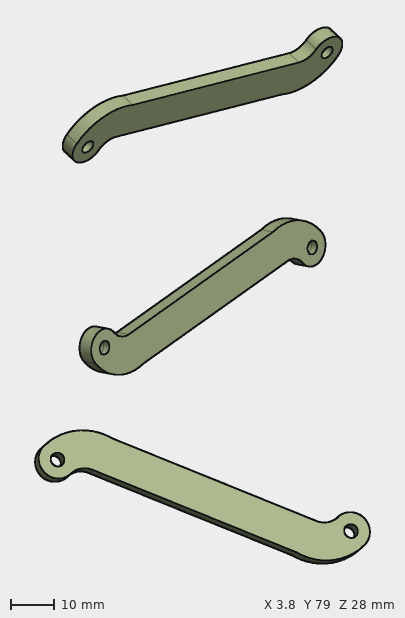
import cadquery as cq
import math

overall_length = 79.0
overall_height = 28.0
thickness = 3.8
end_radius = 4.5
bar_width = 8.85
hole_diameter = 3.2
bend_radius = 9.3
hole_height_difference = 13.35

outer_radius = bend_radius + end_radius
inner_radius = bend_radius - end_radius
pin_height = hole_height_difference / 2
pin_y = -(overall_length / 2 - end_radius)
bend_z = overall_height / 2 - outer_radius
bend_y = pin_y + math.sqrt(bend_radius**2 - (pin_height - bend_z) ** 2)

pin_angle = math.atan2(pin_height - bend_z, pin_y - bend_y)
bend_distance = math.hypot(bend_y, bend_z)
bar_middle = inner_radius + bar_width / 2
bar_angle = math.atan2(-bend_z, -bend_y) + math.acos(bar_middle / bend_distance)

outer_bar_angle = bar_angle - math.acos((inner_radius + bar_width) / outer_radius)


def bend_point(radius, angle):
    """Point on a circle about the -Y bend centre."""
    return (bend_y + radius * math.cos(angle), bend_z + radius * math.sin(angle))


def opposite(point):
    """Point turned half a turn about the middle of the link."""
    return (-point[0], -point[1])


mid_angle = (pin_angle + bar_angle) / 2
outer_bar = bend_point(outer_radius, outer_bar_angle)
outer_mid = bend_point(outer_radius, mid_angle)
outer_pin = bend_point(outer_radius, pin_angle)
tip = (
    pin_y - end_radius * math.sin(pin_angle),
    pin_height + end_radius * math.cos(pin_angle),
)
inner_pin = bend_point(inner_radius, pin_angle)
inner_mid = bend_point(inner_radius, mid_angle)
inner_bar = bend_point(inner_radius, bar_angle)

outline = (
    cq.Workplane("YZ")
    .moveTo(*outer_bar)
    .threePointArc(outer_mid, outer_pin)
    .threePointArc(tip, inner_pin)
    .threePointArc(inner_mid, inner_bar)
    .lineTo(*opposite(outer_bar))
    .threePointArc(opposite(outer_mid), opposite(outer_pin))
    .threePointArc(opposite(tip), opposite(inner_pin))
    .threePointArc(opposite(inner_mid), opposite(inner_bar))
    .close()
)
link = outline.extrude(thickness / 2, both=True)

pin = (pin_y, pin_height)
holes = (
    cq.Workplane("YZ")
    .pushPoints([pin, opposite(pin)])
    .circle(hole_diameter / 2)
    .extrude(thickness, both=True)
)
result = link.cut(holes)